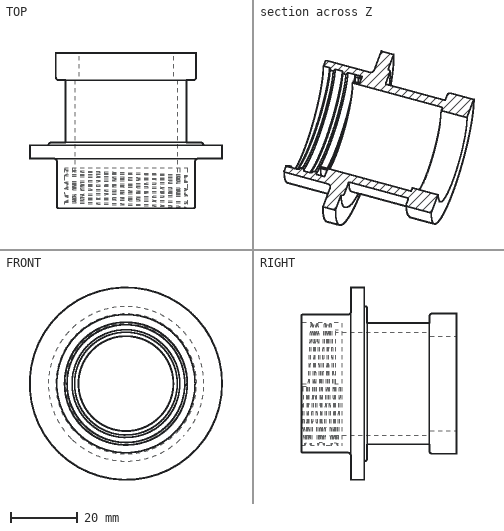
import cadquery as cq
import math

total_length = 46.8
flange_front = 14.95
flange_thickness = 4.05
boss_thickness = 0.8
cap_length = 8.25
flange_back = flange_front + flange_thickness
boss_back = flange_back + boss_thickness
cap_front = total_length - cap_length

flange_radius = 29.0
socket_radius = 20.8
boss_radius = 23.4
neck_radius = 18.25
cap_radius = 21.15
root_fillet = 1.0
boss_round = 0.75
cap_round = 0.9
mouth_round = 0.45

thread_root_radius = 18.5
thread_crest_radius = 17.75
tube_outer_radius = 16.25
tube_bore_radius = 15.5
exit_radius = 14.25
tube_front = 10.2
socket_depth = 12.2

pitch = 4.0
thread_turns = 2.5
crest_width = 1.0
flank_width = 0.4
ridge_overlap = 0.2


def cylinder(radius, start, end):
    """Solid cylinder on the Y axis between two axial stations."""
    plane = cq.Plane(origin=(0, start, 0), xDir=(1, 0, 0), normal=(0, 1, 0))
    return cq.Workplane(plane).circle(radius).extrude(end - start)


def make_outer_body():
    socket = cylinder(socket_radius, 0, flange_front).faces("<Y").edges().fillet(mouth_round)
    flange = cylinder(flange_radius, flange_front, flange_back)
    boss = cylinder(boss_radius, flange_back, boss_back).faces(">Y").edges().fillet(boss_round)
    neck = cylinder(neck_radius, boss_back, cap_front)
    cap = cylinder(cap_radius, cap_front, total_length).faces("<Y").edges().fillet(cap_round)
    return socket.union(flange).union(boss).union(neck).union(cap).union(make_root_fillet())


def make_root_fillet():
    """Concave ring where the socket meets the flange."""
    outer = socket_radius + root_fillet
    start = flange_front - root_fillet
    mid_offset = root_fillet * math.sqrt(0.5)
    inner = (socket_radius + thread_root_radius) / 2
    profile = (
        cq.Workplane("XY")
        .moveTo(inner, start)
        .lineTo(socket_radius, start)
        .threePointArc((outer - mid_offset, start + mid_offset), (outer, flange_front))
        .lineTo(inner, flange_front)
        .close()
    )
    return profile.revolve(360, (0, 0, 0), (0, 1, 0))


def make_cavity():
    """Socket with a tube end standing on its floor, and the bore narrowing inside the cap."""
    socket = cylinder(thread_root_radius, 0, socket_depth)
    socket = socket.cut(cylinder(tube_outer_radius, tube_front, socket_depth))
    bore = cylinder(tube_bore_radius, tube_front, cap_front)
    exit_bore = cylinder(exit_radius, cap_front, total_length)
    return socket.union(bore).union(exit_bore)


def make_thread_lead_in():
    """45-degree wedge that slants the start of the ridge back from its root to its crest."""
    inner = thread_crest_radius - ridge_overlap
    outer = thread_root_radius + 2 * ridge_overlap
    top = outer - thread_root_radius
    bottom = inner - thread_root_radius
    plane = cq.Plane(origin=(0, 0, 0), xDir=(1, 0, 0), normal=(0, 1, 0))
    wedge = cq.Workplane(plane).polyline([(outer, -top), (inner, -top), (inner, -bottom)]).close()
    return wedge.extrude(pitch / 2)


def make_thread():
    """Trapezoidal ridge swept inward from the mouth along a right-hand helix."""
    height = thread_root_radius - thread_crest_radius
    overlap_width = ridge_overlap * flank_width / height
    buried_radius = thread_root_radius + ridge_overlap
    ridge_end = 2 * flank_width + crest_width
    profile = (
        cq.Workplane("XY")
        .moveTo(buried_radius, -overlap_width)
        .lineTo(thread_crest_radius, flank_width)
        .lineTo(thread_crest_radius, flank_width + crest_width)
        .lineTo(buried_radius, ridge_end + overlap_width)
        .close()
    )
    helix = cq.Wire.makeHelix(pitch, pitch * thread_turns, thread_root_radius, dir=cq.Vector(0, 1, 0))
    start = helix.startPoint()
    start_angle = math.degrees(math.atan2(start.z, start.x))
    helix = helix.rotate(cq.Vector(0, 0, 0), cq.Vector(0, 1, 0), start_angle)
    ridge = profile.sweep(cq.Workplane(obj=helix), isFrenet=True)
    ridge = ridge.intersect(cylinder(flange_radius, 0, socket_depth))
    return ridge.cut(make_thread_lead_in())


result = make_outer_body().cut(make_cavity()).union(make_thread())